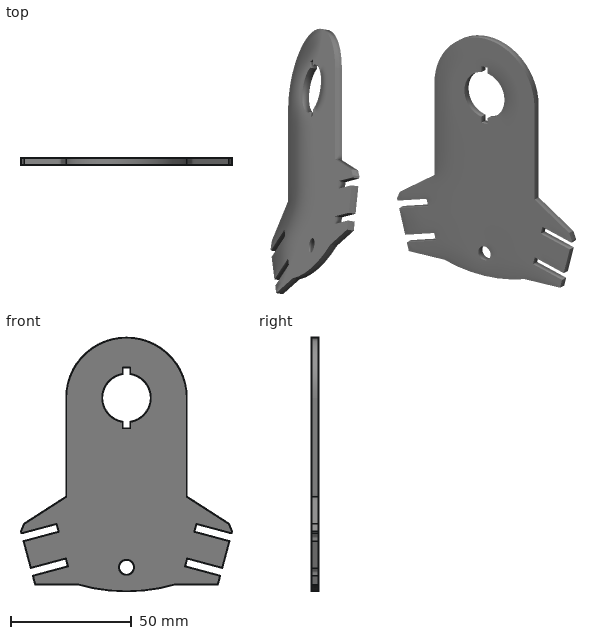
import cadquery as cq
import math

thickness = 3.0
head_radius = 25.0
overall_height = 105.0
bottom_z = head_radius - overall_height

keyed_hole_radius = 10.0
keyway_width = 3.0
keyway_span = 25.0
pivot_radius = 3.0
pivot_z = -70.0

shoulder_z = -40.8
wing_half_width = 43.7
wing_tip_z = -55.1
wing_knee_x = 42.3
wing_knee_z = -52.0
base_z = -77.2
belly_half_width = 20.1
tilt = 15.0
wing_base_x = wing_half_width - (wing_tip_z - base_z) * math.tan(math.radians(tilt))

slot_width = 3.3
slot_depth = 15.0
first_slot_offset = 0.9
slot_pitch = 14.8
slot_count = 2
slot_overrun = 2.1


def extrude_plate(sketch):
    """Extrude an XZ sketch by the plate thickness, centred on Y = 0."""
    return sketch.extrude(thickness / 2, both=True)


def make_blank():
    outline = (
        cq.Workplane("XZ")
        .moveTo(-head_radius, 0)
        .threePointArc((0, head_radius), (head_radius, 0))
        .lineTo(head_radius, shoulder_z)
        .lineTo(wing_knee_x, wing_knee_z)
        .lineTo(wing_half_width, wing_tip_z)
        .lineTo(wing_base_x, base_z)
        .lineTo(belly_half_width, base_z)
        .threePointArc((0, bottom_z), (-belly_half_width, base_z))
        .lineTo(-wing_base_x, base_z)
        .lineTo(-wing_half_width, wing_tip_z)
        .lineTo(-wing_knee_x, wing_knee_z)
        .lineTo(-head_radius, shoulder_z)
        .close()
    )
    return extrude_plate(outline)


def make_holes():
    bore = extrude_plate(cq.Workplane("XZ").circle(keyed_hole_radius))
    keyways = extrude_plate(cq.Workplane("XZ").rect(keyway_width, keyway_span))
    pivot = extrude_plate(cq.Workplane("XZ").center(0, pivot_z).circle(pivot_radius))
    return bore.union(keyways).union(pivot)


def make_right_slots():
    """Slots cut at right angles into the leaning edge of the +X wing."""
    slots = cq.Workplane("XZ")
    for index in range(slot_count):
        slot_z = -first_slot_offset - slot_width / 2 - (index * slot_pitch)
        slots = slots.add(
            cq.Workplane("XZ").box(slot_depth + slot_overrun, slot_width, thickness)
            .translate(((slot_overrun - slot_depth) / 2, 0, slot_z))
        )
    return (
        slots.combine()
        .rotate((0, 0, 0), (0, 1, 0), tilt)
        .translate((wing_half_width, 0, wing_tip_z))
    )


right_slots = make_right_slots()
left_slots = right_slots.mirror("YZ")
result = make_blank().cut(make_holes()).cut(right_slots).cut(left_slots)